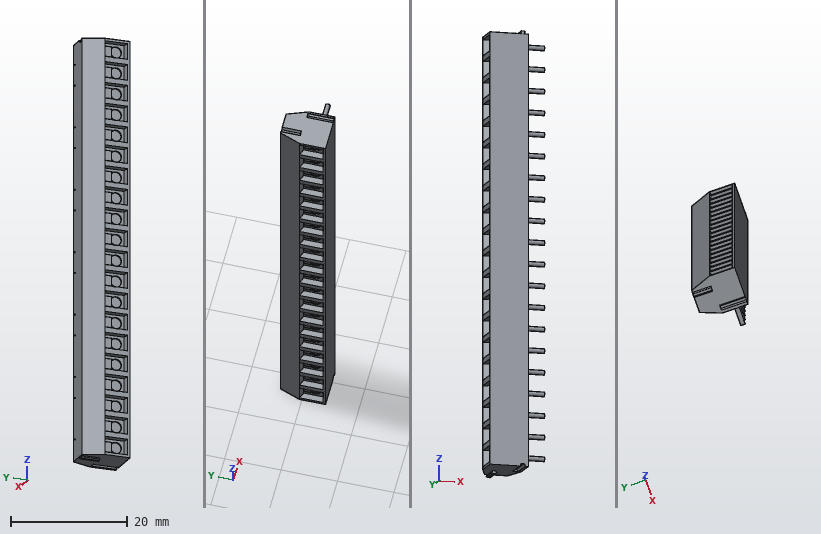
import cadquery as cq

pole_count = 20
body_width = 6.9
body_depth = 8.3
body_height = 76.2
overall_height = 77.2
pole_pitch = body_height / pole_count
base_depth = 4.6
top_inset = 1.4
body_bottom = -body_height / 2
body_top = body_height / 2

pin_y = 2.1
pin_diameter = 0.85
pin_length = 3.4

pocket_height = 2.85
pocket_lower_y = 0.5
pocket_floor_lower_y = 0.7
pocket_floor_upper_y = 4.2
pocket_depth = 1.15
wire_recess_radius = 1.0
wire_recess_y = 2.2
wire_recess_depth = 0.2
lever_slot_lower_y = 2.9
lever_slot_height = 1.85
lever_slot_depth = 0.1

joint_neck_width = 0.5
joint_width = 0.9
joint_tip_width = 0.5
rib_height = (overall_height - body_height) / 2
rib_widest_height = 0.3
groove_depth = 0.5
front_joint_x = 5.9
back_joint_x = 2.2
back_joint_length = 3.4

nub_x = 4.7
nub_width = 0.3
nub_thickness = 0.1
nub_projection = 0.2
plain_joint_spacing = 3
first_plain_joint = 2

pole_centers = [body_bottom + (i + 0.5) * pole_pitch for i in range(pole_count)]
nub_heights = [
    body_bottom + i * pole_pitch
    for i in range(1, pole_count)
    if i % plain_joint_spacing != first_plain_joint
]


def make_body():
    return (
        cq.Workplane("XY", origin=(0, 0, body_bottom))
        .polyline([
            (0, 0),
            (body_width, 0),
            (body_width, base_depth),
            (body_width - top_inset, body_depth),
            (top_inset, body_depth),
            (0, base_depth),
        ])
        .close()
        .extrude(body_height)
    )


def make_pocket(z):
    """Pocket with slanted lower and upper walls; its floor has a lever slot and a D-shaped wire recess."""
    mouth = (
        cq.Workplane("XY", origin=(0, 0, z))
        .polyline([
            (0, pocket_lower_y),
            (pocket_depth, pocket_floor_lower_y),
            (pocket_depth, pocket_floor_upper_y),
            (0, base_depth),
        ])
        .close()
        .extrude(pocket_height / 2, both=True)
    )
    slot_width = pocket_floor_upper_y - lever_slot_lower_y
    slot = (
        cq.Workplane("XY")
        .box(lever_slot_depth, slot_width, lever_slot_height, centered=(False, False, True))
        .translate((pocket_depth, lever_slot_lower_y, z))
    )
    recess_diameter = 2 * wire_recess_radius
    recess_limit = (
        cq.Workplane("XY")
        .box(wire_recess_depth, recess_diameter, recess_diameter, centered=(False, False, True))
        .translate((pocket_depth, lever_slot_lower_y - recess_diameter, z))
    )
    wire_recess = (
        cq.Workplane("YZ", origin=(pocket_depth, wire_recess_y, z))
        .circle(wire_recess_radius)
        .extrude(wire_recess_depth)
        .intersect(recess_limit)
    )
    return mouth.union(slot).union(wire_recess)


def make_pin(z):
    return (
        cq.Workplane("YZ", origin=(body_width, pin_y, z))
        .circle(pin_diameter / 2)
        .extrude(pin_length)
    )


def make_rib(x, y_start, length, z_face, direction):
    """Rib with a narrow neck, a wide middle and a narrower flat tip."""
    z_widest = z_face + direction * rib_widest_height
    z_tip = z_face + direction * rib_height
    return (
        cq.Workplane("XZ", origin=(x, y_start, 0))
        .polyline([
            (-joint_neck_width / 2, z_face),
            (-joint_width / 2, z_widest),
            (-joint_tip_width / 2, z_tip),
            (joint_tip_width / 2, z_tip),
            (joint_width / 2, z_widest),
            (joint_neck_width / 2, z_face),
        ])
        .close()
        .extrude(-length)
    )


def make_groove(x, y_start, length, z_face, direction):
    """Groove that narrows from its mouth to its floor."""
    z_floor = z_face - direction * groove_depth
    return (
        cq.Workplane("XZ", origin=(x, y_start, 0))
        .polyline([
            (-joint_width / 2, z_face),
            (-joint_tip_width / 2, z_floor),
            (joint_tip_width / 2, z_floor),
            (joint_width / 2, z_face),
        ])
        .close()
        .extrude(-length)
    )


def make_nub(z):
    return (
        cq.Workplane("XY")
        .box(nub_width, nub_projection, nub_thickness, centered=(True, False, True))
        .translate((nub_x, body_depth, z))
    )


back_joint_y = body_depth - back_joint_length

result = make_body()
for center in pole_centers:
    result = result.cut(make_pocket(center)).union(make_pin(center))
for height in nub_heights:
    result = result.union(make_nub(height))

result = result.union(make_rib(front_joint_x, 0, base_depth, body_top, 1))
result = result.union(make_rib(back_joint_x, back_joint_y, back_joint_length, body_bottom, -1))
result = result.cut(make_groove(front_joint_x, 0, base_depth, body_bottom, -1))
result = result.cut(make_groove(back_joint_x, back_joint_y, back_joint_length, body_top, 1))